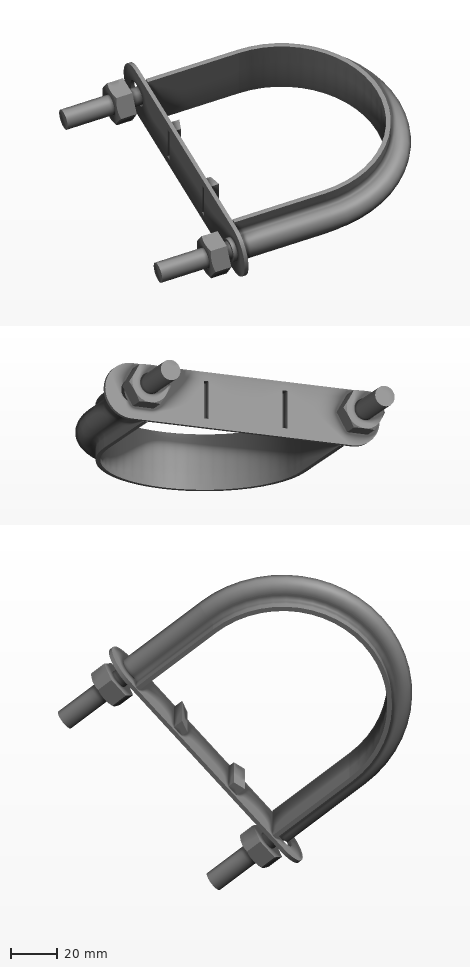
import cadquery as cq
import math

BEND_RADIUS = 50.3
SHANK_DIAMETER = 8.2
THREAD_DIAMETER = 9.2
BOLT_END_Y = -80.8

NUT_TOP_Y = -50.5
NUT_HEIGHT = 8.2
NUT_ACROSS_FLATS = 17.0
NUT_SIDES = 6
NUT_CHAMFER_DEGREES = 30.0
NUT_MOUTH_DIAMETER = 10.0

COVER_WIDTH = 25.0
STRIP_INNER_RADIUS = 45.1
STRIP_THICKNESS = 2.0
RIB_RADIUS = 5.6
RIB_ROOT_FILLET = 2.0
COVER_END_Y = -43.2
SLEEVE_DIAMETER = 10.8
SLEEVE_END_Y = -47.3

PLATE_CENTER_X = -1.5
PLATE_LENGTH = 129.0
PLATE_WIDTH = COVER_WIDTH
PLATE_THICKNESS = 1.8
PLATE_TOP_Y = -43.6
PLATE_BOTTOM_Y = PLATE_TOP_Y - PLATE_THICKNESS
LEFT_HOLE_WIDTH = 10.0

TAB_CENTER_X = 18.5
TAB_THICKNESS = 5.5
TAB_WIDTH = 20.2
TAB_OUTER_HEIGHT = 4.7
TAB_INNER_HEIGHT = 3.0
TAB_SLOT_THICKNESS = 2.2
TAB_SLOT_WIDTH = 17.0
TAB_ROOF = 1.6


def cylinder_along_y(x, diameter, start_y, end_y):
    """Cylinder at (x, z = 0) that runs from start_y toward -Y to end_y."""
    circle = cq.Workplane("XZ", origin=(x, start_y, 0)).circle(diameter / 2)
    return circle.extrude(start_y - end_y)


def u_path(end_y):
    """Centre line of the bolt: left leg, half-circle arch, right leg."""
    return (
        cq.Workplane("XY")
        .moveTo(-BEND_RADIUS, end_y)
        .lineTo(-BEND_RADIUS, 0)
        .threePointArc((0, BEND_RADIUS), (BEND_RADIUS, 0))
        .lineTo(BEND_RADIUS, end_y)
    )


def make_u_bolt():
    leg_start = cq.Workplane("XZ", origin=(-BEND_RADIUS, NUT_TOP_Y, 0))
    bolt = leg_start.circle(SHANK_DIAMETER / 2).sweep(u_path(NUT_TOP_Y))
    for x in (-BEND_RADIUS, BEND_RADIUS):
        bolt = bolt.union(cylinder_along_y(x, THREAD_DIAMETER, NUT_TOP_Y, BOLT_END_Y))
    return bolt


def make_cover(u_bolt):
    half_width = COVER_WIDTH / 2
    strip_inner_x = -STRIP_INNER_RADIUS
    strip_outer_x = strip_inner_x - STRIP_THICKNESS
    fillet_edge = RIB_RADIUS + RIB_ROOT_FILLET
    fillet_top_x = strip_outer_x - RIB_ROOT_FILLET
    fillet_mid_x = strip_outer_x - RIB_ROOT_FILLET * (1 - math.sqrt(0.5))
    fillet_mid_z = fillet_edge - RIB_ROOT_FILLET * math.sqrt(0.5)
    section = (
        cq.Workplane("XZ", origin=(0, COVER_END_Y, 0))
        .moveTo(strip_inner_x, -half_width)
        .lineTo(strip_outer_x, -half_width)
        .lineTo(strip_outer_x, -fillet_edge)
        .threePointArc((fillet_mid_x, -fillet_mid_z), (fillet_top_x, -RIB_RADIUS))
        .lineTo(-BEND_RADIUS, -RIB_RADIUS)
        .threePointArc((-BEND_RADIUS - RIB_RADIUS, 0), (-BEND_RADIUS, RIB_RADIUS))
        .lineTo(fillet_top_x, RIB_RADIUS)
        .threePointArc((fillet_mid_x, fillet_mid_z), (strip_outer_x, fillet_edge))
        .lineTo(strip_outer_x, half_width)
        .lineTo(strip_inner_x, half_width)
        .close()
    )
    cover = section.sweep(u_path(COVER_END_Y))
    sleeve = cylinder_along_y(BEND_RADIUS, SLEEVE_DIAMETER, COVER_END_Y, SLEEVE_END_Y)
    return cover.union(sleeve).cut(u_bolt)


def make_tab_parts(side):
    """Tab block and its slot; the roof slopes down toward the middle of the plate."""
    outer_x = side * (TAB_CENTER_X + TAB_THICKNESS / 2)
    inner_x = side * (TAB_CENTER_X - TAB_THICKNESS / 2)
    slot_outer_x = side * (TAB_CENTER_X + TAB_SLOT_THICKNESS / 2)
    slot_inner_x = side * (TAB_CENTER_X - TAB_SLOT_THICKNESS / 2)
    slope = (TAB_OUTER_HEIGHT - TAB_INNER_HEIGHT) / TAB_THICKNESS
    slot_mid_y = PLATE_TOP_Y + (TAB_OUTER_HEIGHT + TAB_INNER_HEIGHT) / 2 - TAB_ROOF
    slot_rise = slope * TAB_SLOT_THICKNESS / 2
    block = (
        cq.Workplane("XY")
        .moveTo(outer_x, PLATE_TOP_Y)
        .lineTo(outer_x, PLATE_TOP_Y + TAB_OUTER_HEIGHT)
        .lineTo(inner_x, PLATE_TOP_Y + TAB_INNER_HEIGHT)
        .lineTo(inner_x, PLATE_TOP_Y)
        .close()
        .extrude(TAB_WIDTH / 2, both=True)
    )
    slot = (
        cq.Workplane("XY")
        .moveTo(slot_outer_x, PLATE_BOTTOM_Y)
        .lineTo(slot_outer_x, slot_mid_y + slot_rise)
        .lineTo(slot_inner_x, slot_mid_y - slot_rise)
        .lineTo(slot_inner_x, PLATE_BOTTOM_Y)
        .close()
        .extrude(TAB_SLOT_WIDTH / 2, both=True)
    )
    return block, slot


def make_plate():
    left_center_x = PLATE_CENTER_X - (PLATE_LENGTH - PLATE_WIDTH) / 2
    plate = (
        cq.Workplane("XZ", origin=(PLATE_CENTER_X, PLATE_TOP_Y, 0))
        .slot2D(PLATE_LENGTH, PLATE_WIDTH)
        .extrude(PLATE_THICKNESS)
    )
    plate = plate.cut(cylinder_along_y(BEND_RADIUS, SLEEVE_DIAMETER, PLATE_TOP_Y, PLATE_BOTTOM_Y))

    slot_travel = -BEND_RADIUS - left_center_x
    left_hole = (
        cq.Workplane("XZ", origin=(left_center_x + slot_travel / 2, PLATE_TOP_Y, 0))
        .slot2D(LEFT_HOLE_WIDTH + slot_travel, LEFT_HOLE_WIDTH)
        .extrude(PLATE_THICKNESS)
    )
    plate = plate.cut(left_hole)

    for side in (-1, 1):
        block, slot = make_tab_parts(side)
        plate = plate.union(block).cut(slot)
    return plate


def make_nut(x):
    """Hex nut with flats facing up and down, its corners and bore chamfered at the outer end."""
    across_corners = NUT_ACROSS_FLATS / math.cos(math.pi / NUT_SIDES)
    nut = (
        cq.Workplane("XZ", origin=(x, NUT_TOP_Y, 0))
        .polygon(NUT_SIDES, across_corners)
        .circle(THREAD_DIAMETER / 2)
        .extrude(NUT_HEIGHT)
    )
    end_y = NUT_TOP_Y - NUT_HEIGHT

    corner_drop = (across_corners - NUT_ACROSS_FLATS) / 2 * math.tan(
        math.radians(NUT_CHAMFER_DEGREES)
    )
    envelope = (
        cq.Workplane("XY")
        .moveTo(x, end_y)
        .lineTo(x + NUT_ACROSS_FLATS / 2, end_y)
        .lineTo(x + across_corners / 2, end_y + corner_drop)
        .lineTo(x + across_corners / 2, NUT_TOP_Y)
        .lineTo(x, NUT_TOP_Y)
        .close()
        .revolve(360, (x, 0, 0), (x, 1, 0))
    )

    mouth_depth = (NUT_MOUTH_DIAMETER - THREAD_DIAMETER) / 2
    bore_mouth = (
        cq.Workplane("XY")
        .moveTo(x, end_y)
        .lineTo(x + NUT_MOUTH_DIAMETER / 2, end_y)
        .lineTo(x + THREAD_DIAMETER / 2, end_y + mouth_depth)
        .lineTo(x, end_y + mouth_depth)
        .close()
        .revolve(360, (x, 0, 0), (x, 1, 0))
    )
    return nut.intersect(envelope).cut(bore_mouth)


u_bolt = make_u_bolt()
cover = make_cover(u_bolt)
plate = make_plate()
nuts = [make_nut(x) for x in (-BEND_RADIUS, BEND_RADIUS)]

result = cq.Compound.makeCompound([u_bolt.val(), cover.val(), plate.val(), *[nut.val() for nut in nuts]])